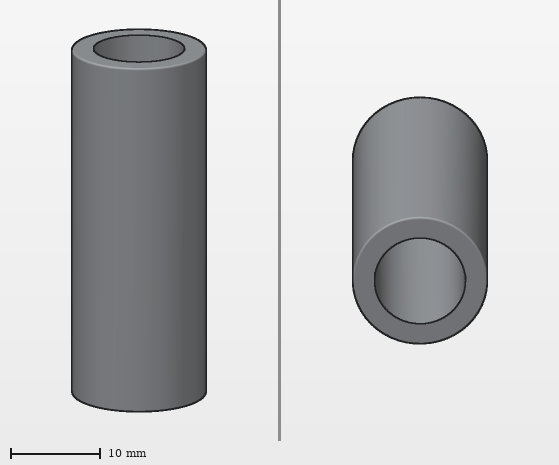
import cadquery as cq

length = 40.0
outer_diameter = 15.0
bore_diameter = 10.1
rim_radius = 0.25

body = (
    cq.Workplane("XY")
    .cylinder(length, outer_diameter / 2)
    .faces("|Z")
    .edges()
    .fillet(rim_radius)
)

result = body.faces(">Z").workplane().hole(bore_diameter)